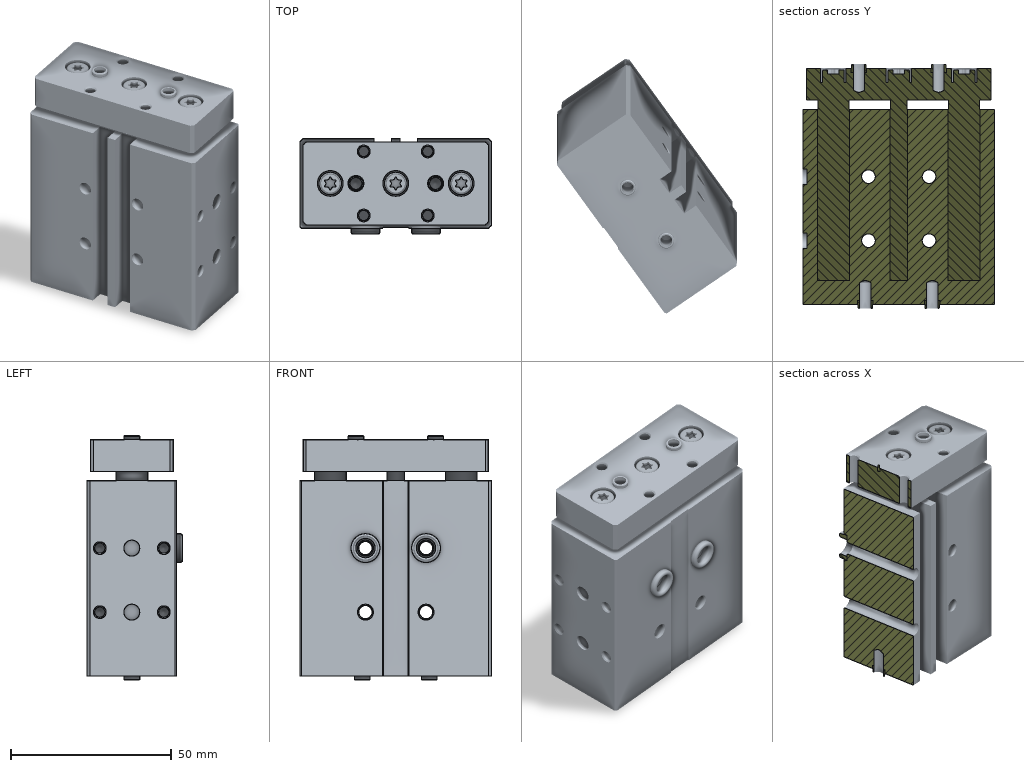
import cadquery as cq
import math


OVERLAP = 0.4

HOUSING_X = 60.0
HOUSING_Y = 28.05
HOUSING_Z = 61.1
HOUSING_CHAMFER = 1.0
HOUSING_SMALL_CHAMFER = 0.5
FRONT_GROOVE_WIDTH = 8.4
FRONT_GROOVE_DEPTH = 0.3
SENSOR_SLOTS_SPAN = 13.45
SENSOR_RIB_WIDTH = 2.7
SENSOR_SLOT_DEPTH = 4.5

PLATE_X = 58.0
PLATE_Y = 26.0
PLATE_Z = 10.0
PLATE_CHAMFER = 1.0
PLATE_GAP = 2.8
GUIDE_ROD_DIA = 10.0
GUIDE_ROD_OFFSET = 20.5
PISTON_ROD_DIA = 5.5
ROD_DEPTH = 53.5

COUNTERBORE_DIA = 8.0
HEAD_DIA = 7.0
HEAD_HEIGHT = 4.0
HEAD_ROUND = 0.5
HEAD_RECESS = 0.45
STAR_TIP_RADIUS = 2.0
STAR_VALLEY_RADIUS = 1.4
STAR_LOBES = 6
STAR_LOBE_HALF_ANGLE = 10.0
STAR_DEPTH = 1.2

HOLE_PITCH = 20.0
SMALL_HOLE_DIA = 3.2
SMALL_HOLE_MOUTH = 4.0
SMALL_HOLE_DEPTH = 6.1
LARGE_HOLE_DIA = 4.1
LARGE_HOLE_MOUTH = 5.0
DRILL_POINT_ANGLE = 118.0
HOLE_LEVELS = (HOLE_PITCH, 2 * HOLE_PITCH)
FRONT_HOLE_OFFSET = 9.5

SMALL_SLEEVE_OD = 5.0
SMALL_SLEEVE_ID = 3.75
SMALL_SLEEVE_STANDOUT = 1.2
SMALL_SEAT_DEPTH = 1.2
SMALL_SLEEVE_CHAMFER = 0.2
SEAT_HOLE_DEPTH = 6.9
TOP_SLEEVE_OFFSET = 12.45
BOTTOM_SLEEVE_OFFSET = 10.5
LARGE_SLEEVE_OD = 9.0
LARGE_SLEEVE_ID = 6.0
LARGE_SLEEVE_STANDOUT = 1.8
LARGE_SEAT_DEPTH = 1.2
LARGE_SLEEVE_ROUND = 0.725

plate_bottom = HOUSING_Z + PLATE_GAP
plate_top = plate_bottom + PLATE_Z
front_y = -HOUSING_Y / 2
back_y = HOUSING_Y / 2
left_x = -HOUSING_X / 2
half_pitch = HOLE_PITCH / 2
rods = [
    (-GUIDE_ROD_OFFSET, GUIDE_ROD_DIA),
    (0, PISTON_ROD_DIA),
    (GUIDE_ROD_OFFSET, GUIDE_ROD_DIA),
]


def frame(origin, outward):
    """Plane on a face, with its normal pointing out of the material."""
    x_dir = (0, 0, 1) if outward[2] == 0 else (1, 0, 0)
    return cq.Plane(origin=origin, xDir=x_dir, normal=outward)


def drill(face, dia, depth):
    """Blind drilled hole with a conical bottom."""
    tip_length = dia / 2 / math.tan(math.radians(DRILL_POINT_ANGLE / 2))
    tip_start = face.origin - face.zDir * depth
    tip = cq.Solid.makeCone(dia / 2, 0, tip_length, tip_start, -face.zDir)
    return peg(face, dia, depth).union(cq.Workplane(obj=tip))


def countersink(face, mouth, dia):
    """45 degree widening of a hole at its mouth."""
    depth = (mouth - dia) / 2
    cone = cq.Solid.makeCone(mouth / 2, dia / 2, depth, face.origin, -face.zDir)
    return cq.Workplane(obj=cone)


def peg(face, dia, depth):
    """Cylinder going from a face into the material."""
    return cq.Workplane(face).circle(dia / 2).extrude(-depth)


def rod(x, dia, top):
    bottom = HOUSING_Z - ROD_DEPTH
    return cq.Workplane("XY", origin=(x, 0, bottom)).circle(dia / 2).extrude(top - bottom)


def small_sleeve_seat(face):
    """Recess for a small sleeve, with the threaded hole below it."""
    recess = peg(face, SMALL_SLEEVE_OD, SMALL_SEAT_DEPTH)
    return recess.union(drill(face, SMALL_SLEEVE_ID, SEAT_HOLE_DEPTH))


top_sleeve_faces = [frame((s * TOP_SLEEVE_OFFSET, 0, plate_top), (0, 0, 1)) for s in (-1, 1)]
bottom_sleeve_faces = [frame((s * BOTTOM_SLEEVE_OFFSET, 0, 0), (0, 0, -1)) for s in (-1, 1)]
front_sleeve_faces = [
    frame((s * FRONT_HOLE_OFFSET, front_y, HOLE_LEVELS[1]), (0, -1, 0)) for s in (-1, 1)
]


def housing_block():
    """Extruded profile with chamfered edges and a shallow groove with sloped flanks in front."""
    half_groove = FRONT_GROOVE_WIDTH / 2
    half_floor = half_groove - FRONT_GROOVE_DEPTH
    floor_y = front_y + FRONT_GROOVE_DEPTH
    right_x = HOUSING_X / 2
    c = HOUSING_CHAMFER
    outline = [
        (left_x + HOUSING_SMALL_CHAMFER, front_y),
        (-half_groove, front_y),
        (-half_floor, floor_y),
        (half_floor, floor_y),
        (half_groove, front_y),
        (right_x - c, front_y),
        (right_x, front_y + c),
        (right_x, back_y - c),
        (right_x - c, back_y),
        (left_x + c, back_y),
        (left_x, back_y - c),
        (left_x, front_y + HOUSING_SMALL_CHAMFER),
    ]
    return cq.Workplane("XY").polyline(outline).close().extrude(HOUSING_Z)


def sensor_slots():
    """Two full-length slots in the back, separated by a rib."""
    width = (SENSOR_SLOTS_SPAN - SENSOR_RIB_WIDTH) / 2
    offset = (SENSOR_RIB_WIDTH + width) / 2
    return (
        cq.Workplane("XY")
        .pushPoints([(-offset, back_y), (offset, back_y)])
        .rect(width, 2 * SENSOR_SLOT_DEPTH)
        .extrude(HOUSING_Z)
    )


def build_housing():
    body = housing_block().cut(sensor_slots())
    for x, dia in rods:
        body = body.cut(rod(x, dia, HOUSING_Z))

    for x in (-FRONT_HOLE_OFFSET, FRONT_HOLE_OFFSET):
        for z in HOLE_LEVELS:
            body = body.cut(peg(frame((x, front_y, z), (0, -1, 0)), LARGE_HOLE_DIA, HOUSING_Y))
        lower = frame((x, front_y, HOLE_LEVELS[0]), (0, -1, 0))
        seat_floor = frame((x, front_y + LARGE_SEAT_DEPTH, HOLE_LEVELS[1]), (0, -1, 0))
        for mouth in (lower, seat_floor):
            body = body.cut(countersink(mouth, LARGE_HOLE_MOUTH, LARGE_HOLE_DIA))
    for face in front_sleeve_faces:
        body = body.cut(peg(face, LARGE_SLEEVE_OD, LARGE_SEAT_DEPTH))

    for z in HOLE_LEVELS:
        body = body.cut(peg(frame((left_x, 0, z), (-1, 0, 0)), SMALL_SLEEVE_OD, SMALL_SEAT_DEPTH))
        for y in (-half_pitch, half_pitch):
            face = frame((left_x, y, z), (-1, 0, 0))
            body = body.cut(drill(face, SMALL_HOLE_DIA, SMALL_HOLE_DEPTH))
            body = body.cut(countersink(face, SMALL_HOLE_MOUTH, SMALL_HOLE_DIA))

    for face in bottom_sleeve_faces:
        body = body.cut(small_sleeve_seat(face))
    return body


def star_socket(face):
    """Six-lobed socket with rounded tips and valleys."""
    def polar(radius, degrees):
        angle = math.radians(degrees)
        return radius * math.cos(angle), radius * math.sin(angle)

    step = 360 / STAR_LOBES
    shoulder = STAR_LOBE_HALF_ANGLE
    shoulder_radius = (STAR_TIP_RADIUS + STAR_VALLEY_RADIUS) / 2
    sketch = cq.Workplane(face).moveTo(*polar(shoulder_radius, step / 2 - shoulder))
    for lobe in range(STAR_LOBES):
        tip = step / 2 + lobe * step
        sketch = sketch.threePointArc(
            polar(STAR_TIP_RADIUS, tip), polar(shoulder_radius, tip + shoulder)
        )
        sketch = sketch.threePointArc(
            polar(STAR_VALLEY_RADIUS, tip + step / 2),
            polar(shoulder_radius, tip + step - shoulder),
        )
    return sketch.close().extrude(-STAR_DEPTH)


def screw_head(face):
    head = peg(face, HEAD_DIA, HEAD_HEIGHT + OVERLAP).faces(">Z").fillet(HEAD_ROUND)
    return head.cut(star_socket(face))


def build_slide():
    body = (
        cq.Workplane("XY", origin=(0, 0, plate_bottom))
        .rect(PLATE_X, PLATE_Y)
        .extrude(PLATE_Z)
        .edges("|Z")
        .chamfer(PLATE_CHAMFER)
    )

    for x in (-half_pitch, half_pitch):
        for y in (-half_pitch, half_pitch):
            face = frame((x, y, plate_top), (0, 0, 1))
            body = body.cut(peg(face, SMALL_HOLE_DIA, PLATE_Z))
            body = body.cut(countersink(face, SMALL_HOLE_MOUTH, SMALL_HOLE_DIA))

    for face in top_sleeve_faces:
        body = body.cut(small_sleeve_seat(face))

    for x, dia in rods:
        body = body.union(rod(x, dia, plate_bottom + OVERLAP))
        mouth = frame((x, 0, plate_top), (0, 0, 1))
        body = body.cut(peg(mouth, COUNTERBORE_DIA, HEAD_RECESS + HEAD_HEIGHT))
        body = body.union(screw_head(frame((x, 0, plate_top - HEAD_RECESS), (0, 0, 1))))
    return body


def ring(face, outer, inner, seat_depth, standout):
    """Plain ring standing on the floor of its seat."""
    floor = cq.Workplane(face).workplane(offset=-seat_depth)
    return floor.circle(outer / 2).circle(inner / 2).extrude(seat_depth + standout)


def small_sleeve(face):
    body = ring(face, SMALL_SLEEVE_OD, SMALL_SLEEVE_ID, SMALL_SEAT_DEPTH, SMALL_SLEEVE_STANDOUT)
    outer_end = body.faces(cq.selectors.DirectionMinMaxSelector(face.zDir, True))
    outer_rim = outer_end.edges(cq.selectors.RadiusNthSelector(-1))
    return outer_rim.chamfer(SMALL_SLEEVE_CHAMFER)


def large_sleeve(face):
    """Sleeve with a rounded lip."""
    body = ring(face, LARGE_SLEEVE_OD, LARGE_SLEEVE_ID, LARGE_SEAT_DEPTH, LARGE_SLEEVE_STANDOUT)
    outer_end = body.faces(cq.selectors.DirectionMinMaxSelector(face.zDir, True))
    return outer_end.edges().fillet(LARGE_SLEEVE_ROUND)


housing = build_housing()
slide = build_slide()
small_sleeves = [small_sleeve(face) for face in top_sleeve_faces + bottom_sleeve_faces]
large_sleeves = [large_sleeve(face) for face in front_sleeve_faces]

result = cq.Compound.makeCompound(
    [housing.val(), slide.val(), *[sleeve.val() for sleeve in small_sleeves + large_sleeves]]
)